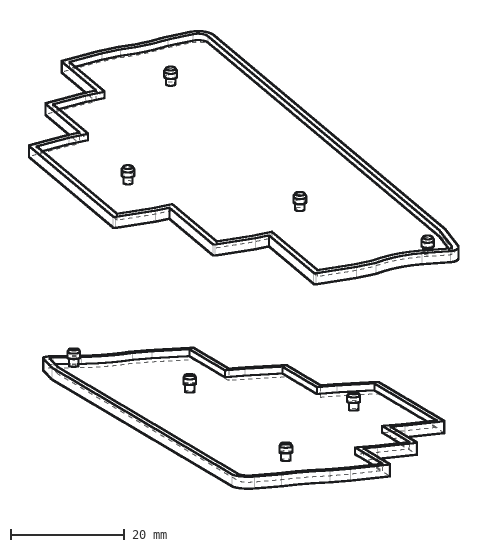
import cadquery as cq

LENGTH = 103.0
WIDTH = 50.0
LEFT_X = -LENGTH / 2
BACK_Y = WIDTH / 2
FRONT_Y = -WIDTH / 2

STEP_DEPTH = 10.5
SLANT_HEIGHT = 7.8
SLANT_RUN = 0.8
UPPER_STEP_Y = FRONT_Y + 2 * STEP_DEPTH
MIDDLE_STEP_Y = FRONT_Y + STEP_DEPTH
MIDDLE_LEFT_X = -36.9
MIDDLE_RIGHT_X = 31.2
LOWER_LEFT_X = -22.4
LOWER_RIGHT_X = 13.0

HOLLOW_TOP_Y = 16.8
HOLLOW_BOTTOM_Y = 7.7
HOLLOW_MIDDLE_Y = (HOLLOW_TOP_Y + HOLLOW_BOTTOM_Y) / 2
LEFT_HOLLOW_DEPTH = 0.4
RIGHT_HOLLOW_DEPTH = 0.6
RIGHT_X = 50.0

BACK_SLOPE_START_X = 42.7
NOSE_X = 52.0
NOSE_Y = 23.6

BACK_LEFT_RADIUS = 3.1
NOSE_RADIUS = 1.8
STEP_CORNER_RADIUS = 0.3

TRAY_HEIGHT = 2.2
FLOOR_THICKNESS = 0.9
WALL = 1.1

TOTAL_HEIGHT = 3.9
HEAD_BOTTOM_Z = 2.4
STEM_RADIUS = 0.8
HEAD_RADIUS = 1.1
HEAD_CHAMFER_HEIGHT = 0.5
HEAD_CHAMFER_WIDTH = 0.3
PIN_POSITIONS = [(-35.8, 10.2), (21.4, 7.0), (-2.2, -15.0), (47.9, 19.0)]

BACK_LEFT = (LEFT_X, BACK_Y)
NOSE = (NOSE_X, NOSE_Y)
STEP_CORNERS = [
    (LEFT_X + SLANT_RUN, UPPER_STEP_Y),
    (MIDDLE_LEFT_X + SLANT_RUN, MIDDLE_STEP_Y),
    (LOWER_LEFT_X + SLANT_RUN, FRONT_Y),
    (LOWER_RIGHT_X - SLANT_RUN, FRONT_Y),
    (MIDDLE_RIGHT_X - SLANT_RUN, MIDDLE_STEP_Y),
    (RIGHT_X - SLANT_RUN, UPPER_STEP_Y),
]


def step_side_down(sketch, x, foot_y):
    """Go straight down at x, then slant right to the foot of the step."""
    return sketch.lineTo(x, foot_y + SLANT_HEIGHT).lineTo(x + SLANT_RUN, foot_y)


def step_side_up(sketch, x, foot_y, top_y):
    """Go from a step's right corner up its slanted and straight sides."""
    return (
        sketch.lineTo(x - SLANT_RUN, foot_y)
        .lineTo(x, foot_y + SLANT_HEIGHT)
        .lineTo(x, top_y)
    )


def outline(base_z):
    """Closed outline of the tray with sharp corners."""
    sketch = (
        cq.Workplane("XY", origin=(0, 0, base_z))
        .moveTo(*BACK_LEFT)
        .lineTo(LEFT_X, HOLLOW_TOP_Y)
        .threePointArc((LEFT_X + LEFT_HOLLOW_DEPTH, HOLLOW_MIDDLE_Y), (LEFT_X, HOLLOW_BOTTOM_Y))
    )
    sketch = step_side_down(sketch, LEFT_X, UPPER_STEP_Y)
    sketch = step_side_down(sketch.lineTo(MIDDLE_LEFT_X, UPPER_STEP_Y), MIDDLE_LEFT_X, MIDDLE_STEP_Y)
    sketch = step_side_down(sketch.lineTo(LOWER_LEFT_X, MIDDLE_STEP_Y), LOWER_LEFT_X, FRONT_Y)
    sketch = step_side_up(sketch, LOWER_RIGHT_X, FRONT_Y, MIDDLE_STEP_Y)
    sketch = step_side_up(sketch, MIDDLE_RIGHT_X, MIDDLE_STEP_Y, UPPER_STEP_Y)
    sketch = step_side_up(sketch, RIGHT_X, UPPER_STEP_Y, HOLLOW_BOTTOM_Y)
    return (
        sketch.threePointArc((RIGHT_X - RIGHT_HOLLOW_DEPTH, HOLLOW_MIDDLE_Y), (RIGHT_X, HOLLOW_TOP_Y))
        .lineTo(*NOSE)
        .lineTo(BACK_SLOPE_START_X, BACK_Y)
        .close()
    )


def round_corner(body, corner, radius):
    """Fillet the upright edge of the body closest to a corner of the outline."""
    nearest = cq.NearestToPointSelector((*corner, TRAY_HEIGHT / 2))
    return body.edges("|Z").edges(nearest).fillet(radius)


def make_tray():
    """Stepped plate with a thin rim all round."""
    plate = outline(0).extrude(TRAY_HEIGHT)
    plate = round_corner(plate, BACK_LEFT, BACK_LEFT_RADIUS)
    plate = round_corner(plate, NOSE, NOSE_RADIUS)
    for corner in STEP_CORNERS:
        plate = round_corner(plate, corner, STEP_CORNER_RADIUS)

    pocket = outline(FLOOR_THICKNESS).offset2D(-WALL, "intersection").extrude(TRAY_HEIGHT - FLOOR_THICKNESS)
    pocket = round_corner(pocket, BACK_LEFT, BACK_LEFT_RADIUS - WALL)
    pocket = round_corner(pocket, NOSE, NOSE_RADIUS - WALL)
    return plate.cut(pocket)


def make_pin(x, y):
    """Pin revolved from its half section: stem, head and chamfered tip."""
    tip_radius = HEAD_RADIUS - HEAD_CHAMFER_WIDTH
    return (
        cq.Workplane("XZ")
        .moveTo(0, FLOOR_THICKNESS)
        .lineTo(STEM_RADIUS, FLOOR_THICKNESS)
        .lineTo(STEM_RADIUS, HEAD_BOTTOM_Z)
        .lineTo(HEAD_RADIUS, HEAD_BOTTOM_Z)
        .lineTo(HEAD_RADIUS, TOTAL_HEIGHT - HEAD_CHAMFER_HEIGHT)
        .lineTo(tip_radius, TOTAL_HEIGHT)
        .lineTo(0, TOTAL_HEIGHT)
        .close()
        .revolve(360, (0, 0, 0), (0, 1, 0))
        .translate((x, y, 0))
    )


tray = make_tray()
pins = [make_pin(x, y) for x, y in PIN_POSITIONS]

result = cq.Compound.makeCompound([tray.val(), *[pin.val() for pin in pins]])